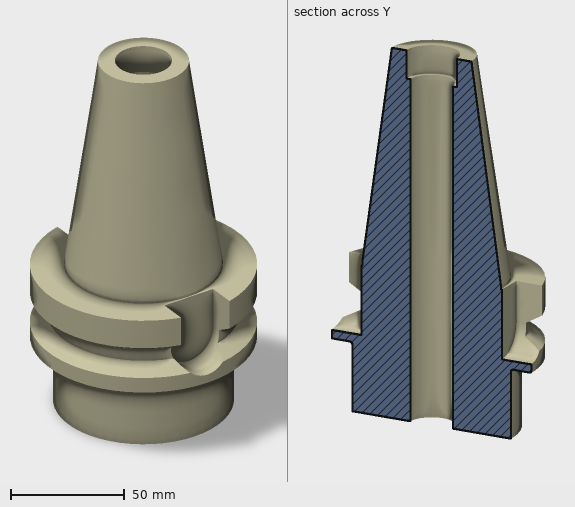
import cadquery as cq

total_height = 171.8
shank_radius = 39.9
shank_fillet = 1.0

flange_radius = 50.0
flange_bottom = 32.1
flange_top = 68.5
groove_radius = 42.3
lower_rim_top = 39.5
groove_floor_bottom = 43.8
groove_floor_top = 50.0
upper_rim_bottom = 54.6

taper_start = 70.0
taper_large_radius = 34.9
taper_ratio = 7 / 24
taper_small_radius = taper_large_radius - (total_height - taper_start) * taper_ratio / 2

bore_radius = 10.5
counterbore_radius = 12.5
counterbore_depth = 13.0

slot_width = 25.8
slot_floor_distance = 35.4
slot_bottom = 36.2


def revolved_body():
    """Solid of revolution about Z: shank, grooved flange and taper."""
    return (
        cq.Workplane("XZ")
        .lineTo(shank_radius, 0)
        .lineTo(shank_radius, flange_bottom - shank_fillet)
        .radiusArc((shank_radius + shank_fillet, flange_bottom), shank_fillet)
        .lineTo(flange_radius, flange_bottom)
        .lineTo(flange_radius, lower_rim_top)
        .lineTo(groove_radius, groove_floor_bottom)
        .lineTo(groove_radius, groove_floor_top)
        .lineTo(flange_radius, upper_rim_bottom)
        .lineTo(flange_radius, flange_top)
        .lineTo(taper_large_radius, flange_top)
        .lineTo(taper_large_radius, taper_start)
        .lineTo(taper_small_radius, total_height)
        .lineTo(0, total_height)
        .close()
        .revolve(360, (0, 0, 0), (0, 1, 0))
    )


def drive_slot(side):
    """Cutter for the drive slot on the +X (side=1) or -X (side=-1) flank."""
    half_width = slot_width / 2
    arc_center_height = slot_bottom + half_width
    return (
        cq.Workplane("YZ", origin=(side * slot_floor_distance, 0, 0))
        .moveTo(-half_width, flange_top)
        .lineTo(-half_width, arc_center_height)
        .threePointArc((0, slot_bottom), (half_width, arc_center_height))
        .lineTo(half_width, flange_top)
        .close()
        .extrude(side * flange_radius)
    )


result = (
    revolved_body()
    .faces(">Z")
    .workplane()
    .cboreHole(2 * bore_radius, 2 * counterbore_radius, counterbore_depth)
)
for side in (-1, 1):
    result = result.cut(drive_slot(side))